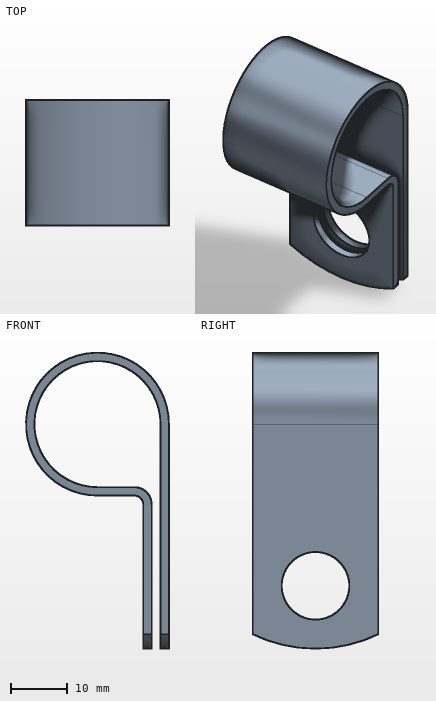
import cadquery as cq
import math

strip_thickness = 1.524
strip_width = 22.225
loop_inner_radius = 11.1125
leg_gap = 1.524
bend_inner_radius = 1.524
hole_diameter = 11.9
hole_drop = 28.55
leg_drop = 39.67
end_radius = 25.4

loop_outer_radius = loop_inner_radius + strip_thickness
bend_outer_radius = bend_inner_radius + strip_thickness
short_leg_outer_x = loop_inner_radius - leg_gap
short_leg_inner_x = short_leg_outer_x - strip_thickness
bend_center_x = short_leg_inner_x - bend_inner_radius
bend_center_z = -loop_outer_radius - bend_inner_radius
half_root = math.sqrt(0.5)


def bend_midpoint(radius):
    """Point halfway round the bend between the loop and the short leg."""
    return (bend_center_x + radius * half_root, bend_center_z + radius * half_root)


def loop_midpoint(radius):
    """Point halfway round the three-quarter turn of the loop."""
    return (-radius * half_root, radius * half_root)


def make_strip():
    """Bent strip: long leg, loop, bend and short leg, extruded along Y."""
    return (
        cq.Workplane("XZ")
        .moveTo(loop_outer_radius, -leg_drop)
        .lineTo(loop_outer_radius, 0)
        .threePointArc(loop_midpoint(loop_outer_radius), (0, -loop_outer_radius))
        .lineTo(bend_center_x, -loop_outer_radius)
        .threePointArc(bend_midpoint(bend_inner_radius), (short_leg_inner_x, bend_center_z))
        .lineTo(short_leg_inner_x, -leg_drop)
        .lineTo(short_leg_outer_x, -leg_drop)
        .lineTo(short_leg_outer_x, bend_center_z)
        .threePointArc(bend_midpoint(bend_outer_radius), (bend_center_x, -loop_inner_radius))
        .lineTo(0, -loop_inner_radius)
        .threePointArc(loop_midpoint(loop_inner_radius), (loop_inner_radius, 0))
        .lineTo(loop_inner_radius, -leg_drop)
        .close()
        .extrude(strip_width / 2, both=True)
    )


def make_side_outline():
    """Block along X with the side outline: straight edges and a rounded lower end."""
    half_width = strip_width / 2
    end_sagitta = end_radius - math.sqrt(end_radius**2 - half_width**2)
    corner_z = -leg_drop + end_sagitta
    return (
        cq.Workplane("YZ")
        .moveTo(-half_width, loop_outer_radius)
        .lineTo(-half_width, corner_z)
        .threePointArc((0, -leg_drop), (half_width, corner_z))
        .lineTo(half_width, loop_outer_radius)
        .close()
        .extrude(loop_outer_radius, both=True)
    )


def make_screw_hole():
    """Cylinder along X through both legs."""
    return (
        cq.Workplane("YZ")
        .center(0, -hole_drop)
        .circle(hole_diameter / 2)
        .extrude(loop_outer_radius, both=True)
    )


result = make_strip().intersect(make_side_outline()).cut(make_screw_hole())